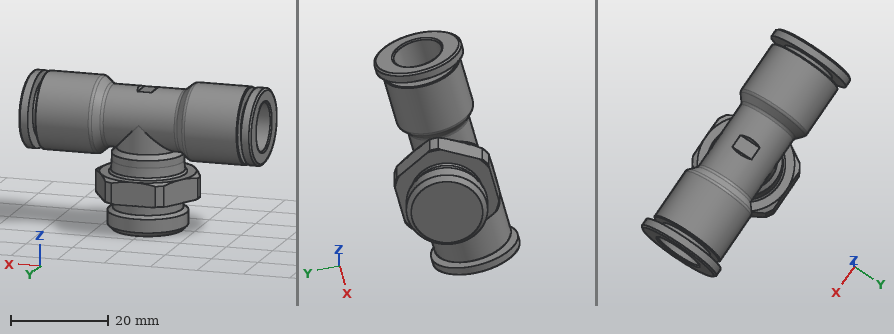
import cadquery as cq


overall_length = 50.0
run_radius = 6.5
socket_radius = 8.15
cone_inner_x = 8.0
cone_outer_x = 10.0
cone_blend_radius = 1.0
socket_end_x = 21.8
socket_edge_chamfer = 0.2

collar_half_width = 9.25
collar_half_height = 8.0
collar_thickness = 2.0
collar_chamfer_axial = 0.35
collar_chamfer_radial = 0.45
collar_neck_radius = 5.85
collar_outer_x = overall_length / 2
collar_inner_x = collar_outer_x - collar_thickness

bore_radius = 5.1
bore_chamfer = 0.3
bore_floor_x = cone_inner_x

flat_z = 6.05
flat_length = 3.0

bottom_z = -23.3
branch_radius = 7.5
branch_cone_top_z = -6.2
branch_cone_bottom_z = branch_cone_top_z - (branch_radius - run_radius)
skirt_top_z = -8.7
skirt_bottom_z = -10.8
skirt_radius = 7.65
flare_radius = 8.1

hex_top_z = -11.25
hex_height = 5.0
hex_bottom_z = hex_top_z - hex_height
hex_across_flats = 20.0
quarter_turn = 90.0
hex_corner_radius = 11.05
hex_top_chamfer_axial = 0.5
hex_top_face_radius = hex_across_flats / 2
hex_bottom_chamfer_axial = 0.15
hex_bottom_face_radius = 10.8

neck_radius = 7.3
neck_root_radius = 7.5
neck_root_z = -16.85
neck_bottom_z = -18.85
plug_radius = 8.35
plug_top_z = -19.45
plug_tip_chamfer = 1.0


def make_run():
    """Waisted barrel: two sockets joined by a narrower middle."""
    profile = (
        cq.Workplane("XY")
        .moveTo(-socket_end_x, 0)
        .lineTo(-socket_end_x, socket_radius)
        .lineTo(-cone_outer_x, socket_radius)
        .lineTo(-cone_inner_x, run_radius)
        .lineTo(cone_inner_x, run_radius)
        .lineTo(cone_outer_x, socket_radius)
        .lineTo(socket_end_x, socket_radius)
        .lineTo(socket_end_x, 0)
        .close()
    )
    barrel = profile.revolve(360, (0, 0, 0), (1, 0, 0))
    zone_end_x = (cone_outer_x + socket_end_x) / 2
    cone_zone = cq.selectors.BoxSelector(
        (-zone_end_x, -socket_radius, -socket_radius),
        (zone_end_x, socket_radius, socket_radius),
    )
    barrel = barrel.edges("%CIRCLE").edges(cone_zone).fillet(cone_blend_radius)
    return barrel.faces("<X or >X").chamfer(socket_edge_chamfer)


def make_collar():
    """Oval release collar and its neck at the +X end."""
    plate = (
        cq.Workplane("YZ", origin=(collar_inner_x, 0, 0))
        .ellipse(collar_half_width, collar_half_height)
        .extrude(collar_thickness)
        .faces(">X")
        .edges()
        .chamfer(collar_chamfer_axial, collar_chamfer_radial)
    )
    neck = (
        cq.Workplane("YZ", origin=(bore_floor_x, 0, 0))
        .circle(collar_neck_radius)
        .extrude(collar_inner_x - bore_floor_x)
    )
    return plate.union(neck)


def make_bore():
    """Cutter for the tube socket at the +X end, with a chamfered mouth."""
    mouth_radius = bore_radius + bore_chamfer
    return (
        cq.Workplane("XY")
        .moveTo(bore_floor_x, 0)
        .lineTo(bore_floor_x, bore_radius)
        .lineTo(collar_outer_x - bore_chamfer, bore_radius)
        .lineTo(collar_outer_x, mouth_radius)
        .lineTo(collar_outer_x, 0)
        .close()
        .revolve(360, (0, 0, 0), (1, 0, 0))
    )


def make_flat_cutter():
    """Cutter for the shallow flat on top of the run."""
    depth = socket_radius - flat_z
    half_bottom = flat_length / 2
    half_top = half_bottom + depth
    return (
        cq.Workplane("XZ")
        .polyline(
            [
                (-half_bottom, flat_z),
                (half_bottom, flat_z),
                (half_top, socket_radius),
                (-half_top, socket_radius),
            ]
        )
        .close()
        .extrude(run_radius, both=True)
    )


def make_branch():
    """Stepped round branch from the run axis down to the plug tip."""
    return (
        cq.Workplane("XZ")
        .moveTo(0, 0)
        .lineTo(run_radius, 0)
        .lineTo(run_radius, branch_cone_top_z)
        .lineTo(branch_radius, branch_cone_bottom_z)
        .lineTo(branch_radius, skirt_top_z)
        .lineTo(skirt_radius, skirt_bottom_z)
        .lineTo(flare_radius, hex_top_z)
        .lineTo(neck_root_radius, hex_bottom_z)
        .lineTo(neck_radius, neck_root_z)
        .lineTo(neck_radius, neck_bottom_z)
        .lineTo(plug_radius, plug_top_z)
        .lineTo(plug_radius, bottom_z + plug_tip_chamfer)
        .lineTo(plug_radius - plug_tip_chamfer, bottom_z)
        .lineTo(0, bottom_z)
        .close()
        .revolve(360, (0, 0, 0), (0, 1, 0))
    )


def make_nut():
    """Hexagon with flats facing +-Y, corners turned down and chamfered."""
    hexagon = (
        cq.Workplane("XY", origin=(0, 0, hex_bottom_z))
        .polygon(6, hex_across_flats, circumscribed=True)
        .extrude(hex_height)
        .rotate((0, 0, 0), (0, 0, 1), quarter_turn)
    )
    turned_blank = (
        cq.Workplane("XZ")
        .moveTo(0, hex_top_z)
        .lineTo(hex_top_face_radius, hex_top_z)
        .lineTo(hex_corner_radius, hex_top_z - hex_top_chamfer_axial)
        .lineTo(hex_corner_radius, hex_bottom_z + hex_bottom_chamfer_axial)
        .lineTo(hex_bottom_face_radius, hex_bottom_z)
        .lineTo(0, hex_bottom_z)
        .close()
        .revolve(360, (0, 0, 0), (0, 1, 0))
    )
    return hexagon.intersect(turned_blank)


collar = make_collar()
bore = make_bore()

result = make_run().cut(make_flat_cutter())
result = result.union(make_branch()).union(make_nut())
result = result.union(collar).union(collar.mirror("YZ"))
result = result.cut(bore).cut(bore.mirror("YZ"))